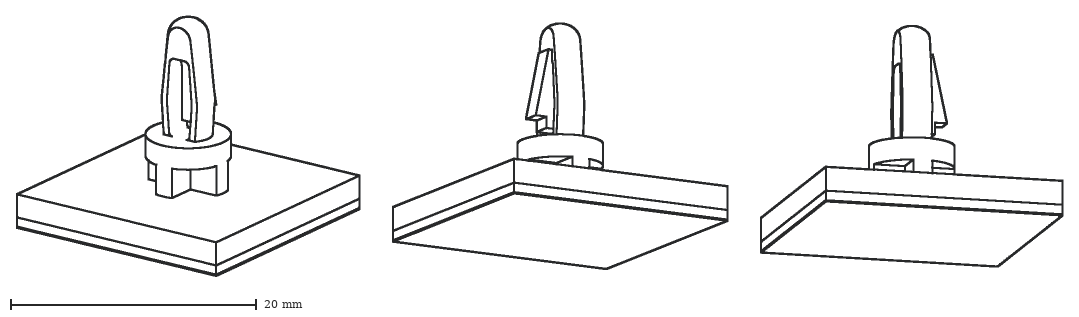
import cadquery as cq
import math

PAD_SIDE = 20.0
LINER_THICKNESS = 0.1
FOAM_THICKNESS = 0.8
PLATE_THICKNESS = 2.0
FOAM_BOTTOM = LINER_THICKNESS
PLATE_BOTTOM = FOAM_BOTTOM + FOAM_THICKNESS
PLATE_TOP = PLATE_BOTTOM + PLATE_THICKNESS

POST_DIAMETER = 7.0
RIB_WIDTH = 1.6
RIB_HEIGHT = 2.55
COLLAR_THICKNESS = 1.85
COLLAR_BOTTOM = PLATE_TOP + RIB_HEIGHT
COLLAR_TOP = COLLAR_BOTTOM + COLLAR_THICKNESS

TOTAL_HEIGHT = 17.31
HEAD_THICKNESS = 2.5
NECK_RADIUS = 2.0
BULGE_RADIUS = 2.16
BULGE_BOTTOM = 9.97
BULGE_TOP = 10.65
DOME_RADIUS = 1.55
HEAD_TAPER = 5.3
DOME_CENTER_Z = TOTAL_HEIGHT - DOME_RADIUS

SLOT_TOP = 14.05
SLOT_TOP_HALF_WIDTH = 0.95
SLOT_WAIST_HALF_WIDTH = 1.25
SLOT_BOTTOM_HALF_WIDTH = 1.0
SLOT_WAIST_Z = (BULGE_BOTTOM + BULGE_TOP) / 2
SLOT_TOP_FILLET = 0.5
SLOT_BOTTOM_FILLET = 0.3

TONGUE_WIDTH = 1.65
TONGUE_FRONT_Y = 0.25
TONGUE_TIP_BACK_Y = 1.75
TONGUE_TOP_BACK_Y = 1.56
BARB_REACH_Y = 2.76
TONGUE_TIP_Z = 8.27
BARB_BOTTOM_Z = 9.22
TONGUE_TOP_Z = 14.88
TONGUE_ROOT_RADIUS = 1.2

SWELLING_SPHERE_RADIUS = 1.3
SWELLING_Z = 15.72


def square_layer(bottom, thickness):
    """Square sheet of the pad, resting on the given height."""
    return cq.Workplane("XY").workplane(offset=bottom).rect(PAD_SIDE, PAD_SIDE).extrude(thickness)


def spacer_post():
    """Cross-shaped ribs with rounded ends, topped by the collar."""
    envelope = cq.Workplane("XY").circle(POST_DIAMETER / 2).extrude(RIB_HEIGHT)
    rib_along_x = cq.Workplane("XY").rect(POST_DIAMETER, RIB_WIDTH).extrude(RIB_HEIGHT)
    rib_along_y = cq.Workplane("XY").rect(RIB_WIDTH, POST_DIAMETER).extrude(RIB_HEIGHT)
    ribs = rib_along_x.union(rib_along_y).intersect(envelope).translate((0, 0, PLATE_TOP))
    collar = (
        cq.Workplane("XY")
        .workplane(offset=COLLAR_BOTTOM)
        .circle(POST_DIAMETER / 2)
        .extrude(COLLAR_THICKNESS)
    )
    return ribs.union(collar)


def turned_head():
    """Revolved head: neck, bulge, tapered cone and a dome tangent to the cone."""
    taper = math.radians(HEAD_TAPER)
    tangent_z = DOME_CENTER_Z + DOME_RADIUS * math.sin(taper)
    tangent_r = BULGE_RADIUS - (tangent_z - BULGE_TOP) * math.tan(taper)
    dome_center_r = tangent_r - DOME_RADIUS * math.cos(taper)
    middle = (taper + math.pi / 2) / 2
    dome_middle = (
        dome_center_r + DOME_RADIUS * math.cos(middle),
        DOME_CENTER_Z + DOME_RADIUS * math.sin(middle),
    )
    profile = (
        cq.Workplane("XZ")
        .moveTo(0, COLLAR_TOP)
        .lineTo(NECK_RADIUS, COLLAR_TOP)
        .lineTo(BULGE_RADIUS, BULGE_BOTTOM)
        .lineTo(BULGE_RADIUS, BULGE_TOP)
        .lineTo(tangent_r, tangent_z)
        .threePointArc(dome_middle, (dome_center_r, TOTAL_HEIGHT))
        .lineTo(0, TOTAL_HEIGHT)
        .close()
    )
    return profile.revolve(360, (0, 0, 0), (0, 1, 0))


def head_slot():
    """Slot through the head along Y, widest at the bulge."""
    slot = (
        cq.Workplane("XZ")
        .moveTo(-SLOT_BOTTOM_HALF_WIDTH, COLLAR_TOP)
        .lineTo(SLOT_BOTTOM_HALF_WIDTH, COLLAR_TOP)
        .lineTo(SLOT_WAIST_HALF_WIDTH, SLOT_WAIST_Z)
        .lineTo(SLOT_TOP_HALF_WIDTH, SLOT_TOP)
        .lineTo(-SLOT_TOP_HALF_WIDTH, SLOT_TOP)
        .lineTo(-SLOT_WAIST_HALF_WIDTH, SLOT_WAIST_Z)
        .close()
        .extrude(HEAD_THICKNESS / 2, both=True)
    )
    slot = slot.faces(">Z").edges("|Y").fillet(SLOT_TOP_FILLET)
    return slot.faces("<Z").edges("|Y").fillet(SLOT_BOTTOM_FILLET)


def latch_tongue():
    """Tongue with a rounded root under the slot ceiling and a barb on its +Y side."""
    root_start_y = TONGUE_FRONT_Y - TONGUE_ROOT_RADIUS
    root_end_z = SLOT_TOP - TONGUE_ROOT_RADIUS
    root_middle = (
        root_start_y + TONGUE_ROOT_RADIUS * math.cos(math.pi / 4),
        root_end_z + TONGUE_ROOT_RADIUS * math.sin(math.pi / 4),
    )
    return (
        cq.Workplane("YZ")
        .moveTo(TONGUE_FRONT_Y, TONGUE_TIP_Z)
        .lineTo(TONGUE_TIP_BACK_Y, TONGUE_TIP_Z)
        .lineTo(TONGUE_TIP_BACK_Y, BARB_BOTTOM_Z)
        .lineTo(BARB_REACH_Y, BARB_BOTTOM_Z)
        .lineTo(TONGUE_TOP_BACK_Y, TONGUE_TOP_Z)
        .lineTo(root_start_y, TONGUE_TOP_Z)
        .lineTo(root_start_y, SLOT_TOP)
        .threePointArc(root_middle, (TONGUE_FRONT_Y, root_end_z))
        .close()
        .extrude(TONGUE_WIDTH / 2, both=True)
    )


def snap_head():
    """Flattened and slotted head with its swelling and latch tongue."""
    head_height = TOTAL_HEIGHT - COLLAR_TOP
    flats = (
        cq.Workplane("XY")
        .workplane(offset=COLLAR_TOP)
        .rect(2 * BULGE_RADIUS, HEAD_THICKNESS)
        .extrude(head_height)
    )
    swelling = cq.Workplane("XY").sphere(SWELLING_SPHERE_RADIUS).translate((0, 0, SWELLING_Z))
    head = turned_head().intersect(flats).cut(head_slot())
    return head.union(swelling).union(latch_tongue())


liner = square_layer(0, LINER_THICKNESS)
foam_tape = square_layer(FOAM_BOTTOM, FOAM_THICKNESS)
support = square_layer(PLATE_BOTTOM, PLATE_THICKNESS).union(spacer_post()).union(snap_head())

result = cq.Compound.makeCompound([liner.val(), foam_tape.val(), support.val()])